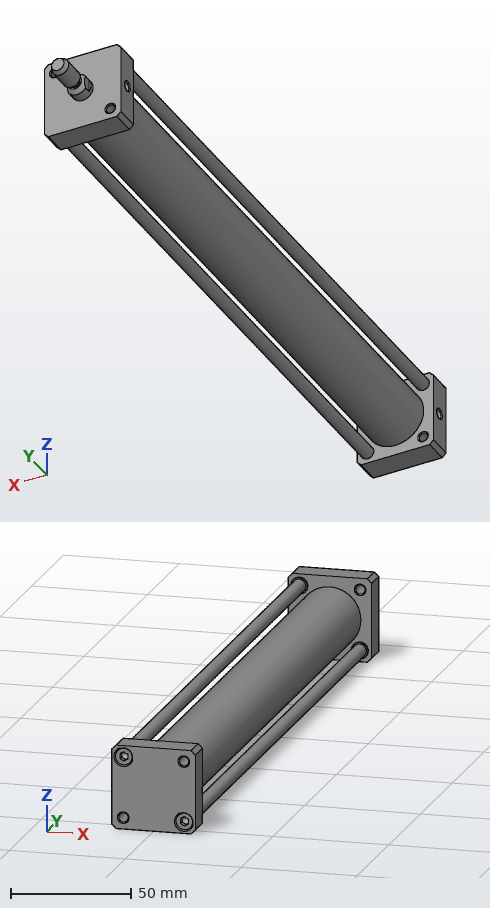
import cadquery as cq

total_length = 311.0
rear_y = -total_length / 2
tip_y = total_length / 2

cap_width = 36.0
cap_thickness = 11.2
corner_chamfer = 2.0
rod_projection = 22.0
front_face_y = tip_y - rod_projection
front_inner_y = front_face_y - cap_thickness
rear_inner_y = rear_y + cap_thickness

corner_offset = 13.0
mounting_corners = [(corner_offset, corner_offset), (-corner_offset, -corner_offset)]
tie_rod_corners = [(-corner_offset, corner_offset), (corner_offset, -corner_offset)]
mounting_hole_diameter = 4.0
mounting_mouth_diameter = 5.0

port_setback = 6.0
port_diameter = 4.0
port_mouth_diameter = 5.0
port_depth = 6.2
port_bar_diameter = 2.0
port_bar_depth = 4.7

barrel_diameter = 26.7

tie_rod_diameter = 6.0
collar_diameter = 7.0
collar_length = 1.0
head_diameter = 7.0
head_recess = 1.0
counterbore_diameter = 8.0
counterbore_depth = 6.2
socket_width = 3.5
socket_depth = 2.5

rod_diameter = 10.0
rod_shoulder = 6.8
rod_chamfer = 2.0
flat_width = 8.0
flat_start = 2.0
neck_diameter = 5.0
neck_length = 1.5
thread_diameter = 8.0
thread_end_diameter = 6.0
thread_tip_chamfer = 2.2
thread_base_chamfer = 1.1


def bar_along_y(diameter, start_y, end_y, x=0, z=0):
    """Round bar parallel to Y between two stations."""
    start = cq.Vector(x, start_y, z)
    return cq.Workplane(cq.Solid.makeCylinder(diameter / 2, end_y - start_y, start, cq.Vector(0, 1, 0)))


def countersink(mouth_diameter, hole_diameter, mouth, inward):
    """45 degree cone that widens a hole at its mouth."""
    depth = (mouth_diameter - hole_diameter) / 2
    return cq.Workplane(cq.Solid.makeCone(mouth_diameter / 2, hole_diameter / 2, depth, mouth, inward))


def cut_mounting_holes(cap, start_y):
    """Two through holes, countersunk at both ends."""
    end_y = start_y + cap_thickness
    for x, z in mounting_corners:
        cap = cap.cut(bar_along_y(mounting_hole_diameter, start_y, end_y, x, z))
        for face_y, direction in ((start_y, 1), (end_y, -1)):
            mouth = cq.Vector(x, face_y, z)
            inward = cq.Vector(0, direction, 0)
            cap = cap.cut(countersink(mounting_mouth_diameter, mounting_hole_diameter, mouth, inward))
    return cap


def cut_port(cap, port_y):
    """Countersunk blind port in the -X side, with a round bar left across it."""
    mouth = cq.Vector(-cap_width / 2, port_y, 0)
    inward = cq.Vector(1, 0, 0)
    bore = cq.Workplane(cq.Solid.makeCylinder(port_diameter / 2, port_depth, mouth, inward))
    half_bar = port_mouth_diameter / 2
    bar_x = mouth.x + port_bar_depth
    bar = bar_along_y(port_bar_diameter, port_y - half_bar, port_y + half_bar, bar_x)
    cap = cap.cut(bore).cut(countersink(port_mouth_diameter, port_diameter, mouth, inward))
    return cap.union(bar)


def make_cap(start_y, port_y):
    """Square cap with chamfered corners, mounting holes and a side port."""
    cap = cq.Workplane("XY").box(cap_width, cap_thickness, cap_width).edges("|Y").chamfer(corner_chamfer)
    cap = cap.translate((0, start_y + cap_thickness / 2, 0))
    return cut_port(cut_mounting_holes(cap, start_y), port_y)


def make_front_cap():
    """Cap bored through for the piston rod."""
    cap = make_cap(front_inner_y, front_face_y - port_setback)
    return cap.cut(bar_along_y(rod_diameter, front_inner_y, front_face_y))


def make_rear_cap():
    """Closed cap with a counterbored hole for each tie rod."""
    cap = make_cap(rear_y, rear_y + port_setback)
    for x, z in tie_rod_corners:
        cap = cap.cut(bar_along_y(tie_rod_diameter, rear_y, rear_inner_y, x, z))
        cap = cap.cut(bar_along_y(counterbore_diameter, rear_y, rear_y + counterbore_depth, x, z))
    return cap


def make_barrel():
    """Round barrel held between the inner faces of the caps."""
    return bar_along_y(barrel_diameter, rear_inner_y, front_inner_y)


def make_tie_rod(x, z):
    """Socket-head rod with a collar that bears on the front cap."""
    head_y = rear_y + head_recess
    seat_y = rear_y + counterbore_depth
    rod = bar_along_y(tie_rod_diameter, seat_y, front_inner_y, x, z)
    rod = rod.union(bar_along_y(head_diameter, head_y, seat_y, x, z))
    rod = rod.union(bar_along_y(collar_diameter, front_inner_y - collar_length, front_inner_y, x, z))
    socket = cq.Workplane("XZ", origin=(x, head_y, z)).polygon(6, socket_width, circumscribed=True)
    rod = rod.cut(socket.extrude(-socket_depth))
    cone_radius = socket_width / 2
    cone_base = cq.Vector(x, head_y + socket_depth, z)
    cone = cq.Solid.makeCone(cone_radius, 0, cone_radius, cone_base, cq.Vector(0, 1, 0))
    return rod.cut(cq.Workplane(cone))


def make_piston_rod():
    """Turned rod with a necked threaded end and two wrench flats."""
    rod_radius = rod_diameter / 2
    shoulder_y = front_face_y + rod_shoulder
    neck_end_y = shoulder_y + neck_length
    profile = [
        (0, front_inner_y),
        (rod_radius, front_inner_y),
        (rod_radius, shoulder_y - rod_chamfer),
        (rod_radius - rod_chamfer, shoulder_y),
        (neck_diameter / 2, shoulder_y),
        (neck_diameter / 2, neck_end_y),
        (thread_end_diameter / 2, neck_end_y),
        (thread_diameter / 2, neck_end_y + thread_base_chamfer),
        (thread_diameter / 2, tip_y - thread_tip_chamfer),
        (thread_end_diameter / 2, tip_y),
        (0, tip_y),
    ]
    rod = cq.Workplane("XY").polyline(profile).close().revolve(360, (0, 0, 0), (0, 1, 0))
    flat_length = rod_shoulder - flat_start
    flat_middle_y = front_face_y + flat_start + flat_length / 2
    for side in (-1, 1):
        cutter = cq.Workplane("XY").box(rod_diameter, flat_length, rod_diameter)
        rod = rod.cut(cutter.translate((side * (flat_width + rod_diameter) / 2, flat_middle_y, 0)))
    return rod


front_cap = make_front_cap()
rear_cap = make_rear_cap()
barrel = make_barrel()
piston_rod = make_piston_rod()
tie_rods = [make_tie_rod(x, z) for x, z in tie_rod_corners]

result = cq.Compound.makeCompound(
    [
        front_cap.solids().val(),
        rear_cap.solids().val(),
        barrel.solids().val(),
        piston_rod.solids().val(),
        *[tie_rod.solids().val() for tie_rod in tie_rods],
    ]
)